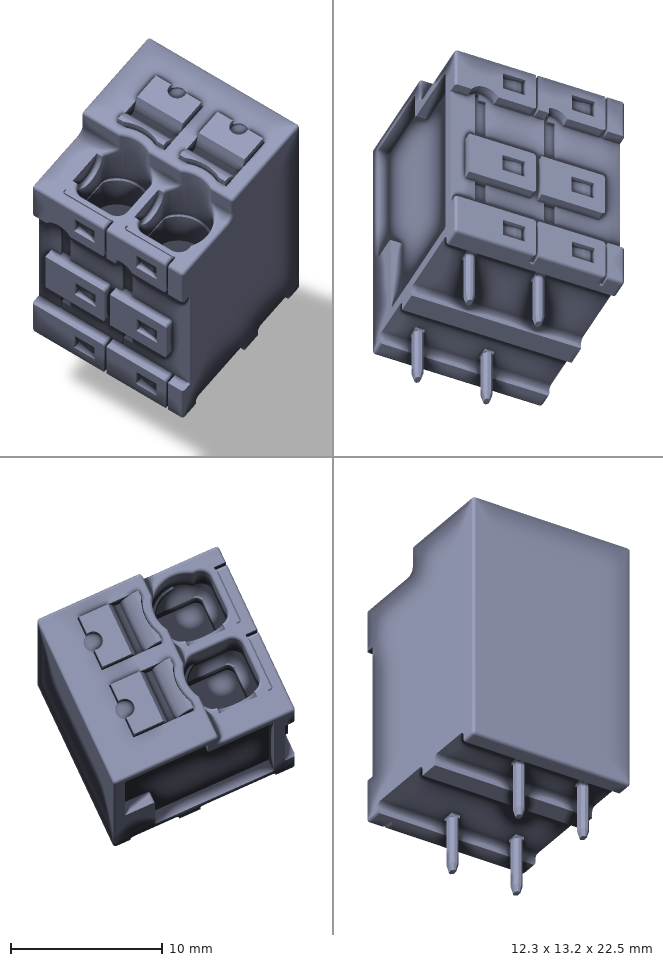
import cadquery as cq


width = 12.3
depth = 13.2
body_top = 18.5
ledge_top = 16.45
step_y = 5.6
step_fillet = 0.52
edge_fillet = 0.2
overlap = 0.22
tolerance = 0.002

pitch = 5.02
first_pole_x = 4.3
pole_offsets = [0, pitch]

recess_depth = 0.79
recess_bottom = 3.17
recess_top = 13.25
slit_width = 0.18
slit_right_x = 6.05
block_corner = 0.2

pad_height = 0.72
pad_bottom = 5.78
pad_top = 9.22
pad_left_edges = [1.04, 6.3]
pad_right_x = slit_right_x - slit_width
pad_corner = 0.2

window_left_x = 3.45
window_width = 1.66
window_slope_end = 1.08
window_flat_end = 1.48
window_back_depth = 0.55
window_flat_depth = 0.35
window_dip = 0.1
window_height = 1.35
window_centers_z = [1.62, 7.55, 14.87]

slot_left_x = 1.78
slot_width = 0.8
slot_bottom = 4.03
slot_depth = 0.27
slot_head_width = 0.3
slot_head_height = 0.47
seam_width = 0.1
arch_x = 2.15
arch_half_width = 0.97
arch_rise = 0.55

wire_y = 3.6
wire_radius = 2.35
wire_half_width = 1.95
wire_front_y = 1.28
wire_corner = 0.8
wire_bottom = 13.55
throat_radius = 2.15
funnel_height = 1.35
funnel_floor = 10.8
funnel_left = 0.07
funnel_right = 0.65
funnel_front = 0.8
funnel_corner = 0.56
scoop_radius = 1.37
scoop_y = 3.3
scoop_width = 0.43
ledge_seam_y = 0.75
ledge_seam_depth = 0.14
ledge_seam_hook = 0.14

button_top = 19.0
well_width = 3.9
well_front = 6.32
well_back = 10.7
well_bottom = 17.1
well_gap = 0.1
well_wall_radius = wire_radius + 0.63
valley_z = 17.65
rocker_crest_y = 6.65
rocker_shoulder = (7.27, body_top)
rocker_foot = (7.65, valley_z)
valley_start_y = 7.8
button_root_middle = (8.05, 17.75)
button_root = (8.15, 17.95)
button_front_y = 8.5
driver_hole_y = 10.45
driver_hole_radius = 0.63
driver_hole_floor = 18.35

pocket_depth = 0.83
pocket_corner = 0.2
pocket_outline = [
    (1.58, 1.6), (10.24, 1.6), (10.24, 7.96), (12.4, 7.96),
    (12.4, 17.7), (6.4, 17.7), (6.4, 15.62), (1.58, 15.62),
]

foot_height = 0.79
foot_fillet = 0.34
front_foot_end = 1.45
middle_foot = (6.93, 8.45)
back_foot_start = 12.0
pin_end_z = button_top - 22.5
pin_x = 2.18
pin_centers_y = [2.56, 10.78]
pin_width = 0.65
pin_depth = 0.85
pin_chamfer = 0.2
pin_collar_bottom = 0.56
pin_tip_height = 0.52
pin_tip_inset = 0.14


def block(x_range, y_range, z_range):
    """Box given by its limits along each axis."""
    return cq.Workplane("XY").box(
        x_range[1] - x_range[0], y_range[1] - y_range[0], z_range[1] - z_range[0], centered=False
    ).translate((x_range[0], y_range[0], z_range[0]))


def side_profile(start_x):
    """Sketch plane whose local axes are Y and Z."""
    return cq.Workplane("YZ").workplane(offset=start_x)


def upright_cylinder(x, y, radius, bottom, top):
    return cq.Workplane("XY").workplane(offset=bottom).center(x, y).circle(radius).extrude(top - bottom)


def make_housing():
    outline = [(0, 0), (depth, 0), (depth, body_top), (step_y, body_top), (step_y, ledge_top), (0, ledge_top)]
    housing = side_profile(0).polyline(outline).close().extrude(width)
    inner_corner = cq.selectors.NearestToPointSelector((width / 2, step_y, ledge_top))
    return housing.edges(inner_corner).fillet(step_fillet)


def round_outer_edges(body, entries):
    """Fillet the outside edges of the housing and the rims of the wire entries."""

    def is_outside(edge):
        middle = edge.positionAt(0.5)
        on_side = min(middle.x, width - middle.x) < tolerance
        on_end = min(middle.y, depth - middle.y) < tolerance
        on_step_crest = middle.z > body_top - tolerance
        is_rim = cq.Vertex.makeVertex(*middle.toTuple()).distance(entries.val()) < tolerance
        return on_side or on_end or on_step_crest or (is_rim and middle.z > ledge_top - tolerance)

    return body.edges().filter(is_outside).fillet(edge_fillet)


def make_wire_opening(x):
    """Round entry with a flat left side, a squarer front and, between poles, a flat right side."""
    left = x - wire_half_width
    right = x + wire_half_width
    front = block((left, right), (wire_front_y, wire_y), (wire_bottom, button_top))
    front = front.edges("|Z and <Y").fillet(wire_corner)
    round_part = upright_cylinder(x, wire_y, wire_radius, wire_bottom, button_top)
    has_right_neighbour = x + pitch < width
    right_limit = right if has_right_neighbour else x + wire_radius
    limits = block((left, right_limit), (wire_front_y, depth), (wire_bottom, button_top))
    opening = front.union(round_part).intersect(limits)
    return opening.edges("|Z").filter(lambda edge: edge.Center().y > wire_y).fillet(wire_corner)


def make_wire_funnel(x):
    """Throat below the entry, sloped at 45 degrees on its front and right, leading into a square shaft."""
    left = x - wire_half_width + funnel_left
    right = x + wire_half_width - funnel_right
    front = wire_front_y + funnel_front
    back = wire_y + throat_radius
    shaft_top = wire_bottom - funnel_height
    across = [
        (left, funnel_floor), (right, funnel_floor), (right, shaft_top),
        (right + funnel_height, wire_bottom), (left, wire_bottom),
    ]
    along = [
        (front, funnel_floor), (back, funnel_floor), (back, wire_bottom),
        (front - funnel_height, wire_bottom), (front, shaft_top),
    ]
    front_to_back = cq.Workplane("XZ").polyline(across).close().extrude(-depth)
    left_to_right = side_profile(0).polyline(along).close().extrude(width)
    funnel = front_to_back.intersect(left_to_right)

    def is_corner(edge):
        middle = edge.Center()
        at_right_front = middle.x > right - tolerance and middle.y < front + tolerance
        return at_right_front and funnel_floor < middle.z < wire_bottom

    funnel = funnel.edges("not #Z").filter(is_corner).fillet(funnel_corner)
    round_back = upright_cylinder(x, wire_y, throat_radius, funnel_floor, wire_bottom)
    square_front = block((left, width), (0, wire_y), (funnel_floor, wire_bottom))
    opening_below = make_wire_opening(x).translate((0, 0, wire_bottom - button_top))
    return funnel.intersect(round_back.union(square_front)).intersect(opening_below)


def cut_ledge_details(body, x):
    """Scoop beside the wire entry and the thin seam in front of it."""
    left = x - wire_half_width - scoop_width
    scoop = side_profile(left).center(scoop_y, ledge_top).circle(scoop_radius).extrude(2 * scoop_width)
    scoop = scoop.intersect(block((0, width), (0, depth), (wire_bottom, ledge_top)))
    seam_back = ledge_seam_y + seam_width
    slit_right = slit_right_x + x - first_pole_x
    z_range = (ledge_top - ledge_seam_depth, ledge_top)
    seam = block((left + ledge_seam_hook, slit_right), (ledge_seam_y, seam_back), z_range)
    hook_outline = [
        (left + ledge_seam_hook, ledge_seam_y), (left + ledge_seam_hook, seam_back),
        (left + seam_width, seam_back + ledge_seam_hook),
        (left + seam_width, seam_back + 2 * ledge_seam_hook),
        (left, seam_back + 2 * ledge_seam_hook), (left, ledge_seam_y + ledge_seam_hook),
    ]
    hook = cq.Workplane("XY").workplane(offset=z_range[0]).polyline(hook_outline).close()
    return body.cut(scoop).cut(seam).cut(hook.extrude(ledge_seam_depth))


def cut_button_well(body, x):
    """Well for the push button, and the round recess for a screwdriver tip behind it."""
    x_range = (x - well_width / 2, x + well_width / 2)
    well = block(x_range, (well_front, well_back), (well_bottom, button_top))
    well = well.cut(upright_cylinder(x, wire_y, well_wall_radius, well_bottom, button_top))
    return body.cut(well).cut(make_driver_hole(x))


def make_driver_hole(x):
    return upright_cylinder(x, driver_hole_y, driver_hole_radius, driver_hole_floor, button_top)


def make_button_and_rocker(x):
    """Button at the back and rocker at the front, joined by a low valley."""
    left = x - well_width / 2 + well_gap
    profile = (
        side_profile(left)
        .moveTo(well_front, well_bottom)
        .lineTo(well_front, button_top)
        .lineTo(rocker_crest_y, button_top)
        .threePointArc(rocker_shoulder, rocker_foot)
        .lineTo(valley_start_y, valley_z)
        .threePointArc(button_root_middle, button_root)
        .lineTo(button_front_y, button_top)
        .lineTo(well_back - well_gap, button_top)
        .lineTo(well_back - well_gap, well_bottom)
        .close()
    )
    insert = profile.extrude(well_width - 2 * well_gap)
    insert = insert.cut(upright_cylinder(x, wire_y, well_wall_radius + well_gap, well_bottom, button_top))
    insert = insert.cut(make_driver_hole(x))
    base_y = (well_front - overlap, well_back + overlap)
    base = block((x - well_width / 2, x + well_width / 2), base_y, (well_bottom - overlap, well_bottom))
    driver_hole_base = upright_cylinder(x, driver_hole_y, driver_hole_radius, well_bottom, driver_hole_floor)
    return insert.union(base).union(driver_hole_base)


def cut_front_recess(body):
    recess = block((0, width), (0, recess_depth), (recess_bottom, recess_top))
    return body.cut(recess)


def cut_slits(body, x_shift):
    """Slit that parts the front blocks, with rounded block corners on its left."""
    right = slit_right_x + x_shift
    left = right - slit_width
    for z_range in [(0, recess_bottom), (recess_top, ledge_top)]:
        body = body.cut(block((left, right), (0, recess_depth + seam_width), z_range))
        corner_strip = block((left - 2 * block_corner, left), (0, recess_depth), z_range)
        rounded_strip = corner_strip.edges("|Y and >X").fillet(block_corner)
        body = body.cut(corner_strip.cut(rounded_strip))
    return body


def cut_slot_and_arch(body, x_shift):
    """Upright slot in the recessed face, its narrow tail and head, and the arch in the block above."""
    left = slot_left_x + x_shift
    y_range = (recess_depth, recess_depth + slot_depth)
    slot = block((left, left + slot_width), y_range, (slot_bottom, recess_top))
    tail = block((left, left + seam_width), y_range, (recess_bottom, slot_bottom))
    head_range = (recess_top, recess_top + slot_head_height)
    head = block((left, left + slot_head_width), y_range, head_range)
    center = arch_x + x_shift
    arch = (
        cq.Workplane("XZ")
        .moveTo(center - arch_half_width, recess_top)
        .threePointArc((center, recess_top + arch_rise), (center + arch_half_width, recess_top))
        .close()
        .extrude(-recess_depth)
    )
    has_left_neighbour = x_shift > 0
    arch_left = left if has_left_neighbour else 0
    arch = arch.intersect(block((arch_left, width), (0, depth), (0, body_top)))
    return body.cut(slot).cut(tail).cut(head).cut(arch)


def make_pad(left, right):
    """Raised label pad with rounded corners on its right."""
    y_range = (recess_depth - pad_height, recess_depth + slot_depth)
    pad = block((left, right), y_range, (pad_bottom, pad_top))
    return pad.edges("|Y and >X").fillet(pad_corner)


def make_window(x_shift, center_z):
    """Test window with a sloped floor, then a flat one, then a shallow dip at the right."""
    left = window_left_x + x_shift
    outline = [
        (left, 0), (left, window_back_depth), (left + window_slope_end, window_flat_depth),
        (left + window_flat_end, window_flat_depth),
        (left + window_width, window_flat_depth + window_dip), (left + window_width, 0),
    ]
    start = center_z - window_height / 2
    return cq.Workplane("XY").workplane(offset=start).polyline(outline).close().extrude(window_height)


def cut_side_pocket(body):
    pocket = side_profile(0).polyline(pocket_outline).close().extrude(pocket_depth)
    return body.cut(pocket.edges("|X").fillet(pocket_corner))


def cut_feet(body):
    """Clear the underside between the feet, leaving the middle foot with square ends."""
    for y_range in [(front_foot_end, middle_foot[0]), (middle_foot[1], back_foot_start)]:
        gap = block((0, width), y_range, (0, foot_height))
        body = body.cut(gap.edges("|X and >Z").fillet(foot_fillet))
    square_foot_end = block((0, width), middle_foot, (0, edge_fillet))
    return body.union(square_foot_end)


def make_pin(x, y):
    """Chamfered solder pin with a plain collar under the housing and a tapered tip."""
    tip_start = pin_end_z + pin_tip_height
    collar_height = foot_height + overlap - pin_collar_bottom
    section = cq.Sketch().rect(pin_width, pin_depth).vertices().chamfer(pin_chamfer)
    tip_section = cq.Sketch().rect(pin_width - 2 * pin_tip_inset, pin_depth - 2 * pin_tip_inset)
    tip_section = tip_section.vertices().chamfer(pin_chamfer - pin_tip_inset / 2)
    shank_plane = cq.Workplane("XY").workplane(offset=tip_start)
    shank = shank_plane.placeSketch(section).extrude(pin_collar_bottom - tip_start)
    tip = shank_plane.placeSketch(section, tip_section.moved(cq.Location((0, 0, -pin_tip_height)))).loft()
    collar = cq.Workplane("XY").workplane(offset=pin_collar_bottom).rect(pin_width, pin_depth)
    return shank.union(tip).union(collar.extrude(collar_height)).translate((x, y, 0))


wire_openings = make_wire_opening(first_pole_x)
for offset in pole_offsets[1:]:
    wire_openings = wire_openings.union(make_wire_opening(first_pole_x + offset))
result = round_outer_edges(make_housing().cut(wire_openings), wire_openings)
for offset in pole_offsets:
    pole_x = first_pole_x + offset
    result = result.cut(make_wire_funnel(pole_x))
    result = cut_ledge_details(result, pole_x)
    result = cut_button_well(result, pole_x)
    result = result.union(make_button_and_rocker(pole_x))

result = cut_front_recess(result)
for offset in pole_offsets:
    result = cut_slits(result, offset)
    result = cut_slot_and_arch(result, offset)
for offset, pad_left in zip(pole_offsets, pad_left_edges):
    result = result.union(make_pad(pad_left, pad_right_x + offset))
for offset in pole_offsets:
    for center_z in window_centers_z:
        result = result.cut(make_window(offset, center_z))

result = cut_side_pocket(result)
result = cut_feet(result)
for offset in pole_offsets:
    for pin_y in pin_centers_y:
        result = result.union(make_pin(pin_x + offset, pin_y))